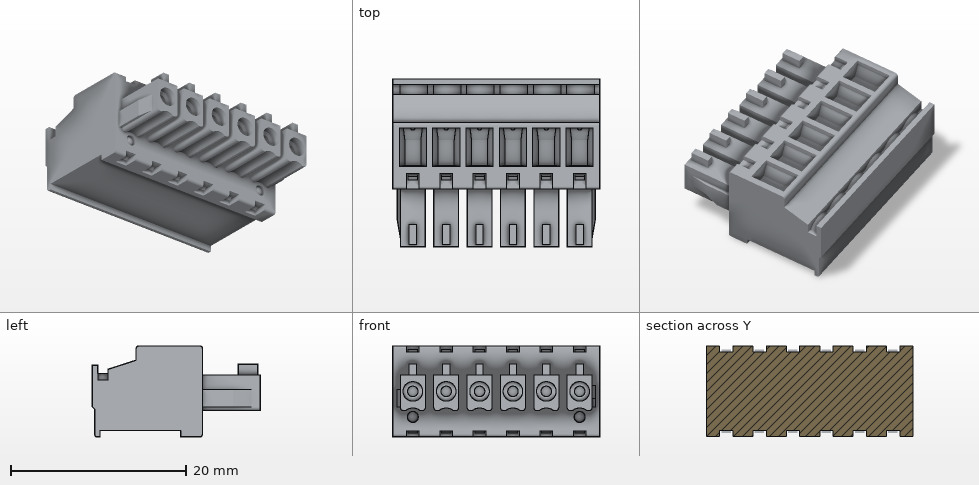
import cadquery as cq


POLES = 6
PITCH = 3.81
WIDTH = 23.65
DEPTH = 12.6
HEIGHT = 10.4
PLUG_LENGTH = 6.6

POLE_X = [(i - (POLES - 1) / 2) * PITCH for i in range(POLES)]

EDGE_RADIUS = 0.3
STEP_RADIUS = 0.35
STEP_Y = 7.6
STEP_Z = 8.77
SLOPE_END_Z = 7.73
GROOVE_FRONT_Y = 10.8
GROOVE_REAR_Y = 11.95
GROOVE_Z = 6.5
REAR_WALL_TOP_Z = 8.2
REAR_LEDGE_Z = 3.45
REAR_STEP = 0.27
FRONT_FOOT_DEPTH = 2.5
REAR_FOOT_FRONT_Y = 11.7
FOOT_HEIGHT = 0.73

BOSS_RADIUS = 2.03
BOSS_TOP_Z = 7.25
BOSS_OFFSET_X = 0.1

POCKET_WIDTH = 3.1
POCKET_FRONT_Y = 2.6
POCKET_REAR_Y = 7.0
POCKET_FRONT_DRAFT = 0.1
POCKET_STRAIGHT_DEPTH = 0.7
FUNNEL_DEPTH = 1.25
FUNNEL_INSET = 0.64
RAMP_FRONT_Y = 5.58
RAMP_HEIGHT = 0.35
SCREW_TIP_RADIUS = 0.25

NOTCH_WIDTH = 1.45
NOTCH_LENGTH = 1.8
NOTCH_DEPTH = 0.7
LATCH_WIDTH = 1.08
LATCH_HEIGHT = 0.26
LATCH_FRONT_Y = 1.07
LATCH_CREST_Y = 1.43
LATCH_REAR_Y = 1.62

PLUG_WIDTH = 2.86
PLUG_BOTTOM_Z = 3.0
PLUG_TOP_Z = 7.1
PLUG_CORNER_RADIUS = 0.38
SCALLOP_WIDTH = 1.65
SCALLOP_RISE = 0.3
SOCKET_Z = 5.2
SOCKET_RADIUS = 1.12
SOCKET_DEPTH = 1.0
CONTACT_RADIUS = 0.6
CONTACT_CONE_DEPTH = 0.06
CONTACT_DEPTH = 1.5
KEY_WIDTH = 0.82
KEY_LENGTH = 2.27
KEY_SETBACK = 0.27
KEY_HEIGHT = 1.2

RIB_THICKNESS = 0.36
RIB_STRAIGHT_LENGTH = 3.5
RIB_LENGTH = 5.55
RIB_BOTTOM_Z = 3.4
LEFT_RIB_TOP_Z = 5.44
RIGHT_RIB_TOP_Z = 5.88
RIGHT_RIB_RAISED_Z = 4.38
RIGHT_RIB_RISE_LENGTH = 1.5

DOME_Z = 2.28
DOME_RADIUS = 0.63
DOME_HOLE_DEPTH = 0.5


def box(x_min, x_max, y_min, y_max, z_min, z_max):
    """Axis-aligned block between the given limits."""
    return cq.Workplane("XY").box(
        x_max - x_min, y_max - y_min, z_max - z_min, centered=False
    ).translate((x_min, y_min, z_min))


def side_prism(points, x_min, x_max):
    """Closed (Y, Z) outline extruded along X."""
    return cq.Workplane("YZ").polyline(points).close().extrude(x_max - x_min).translate((x_min, 0, 0))


def y_cylinder(x, z, radius, y_min, y_max):
    """Cylinder with its axis along Y."""
    return cq.Workplane("XZ", origin=(x, y_min, z)).circle(radius).extrude(y_min - y_max)


def housing():
    lower_rear_y = DEPTH - REAR_STEP
    outline = [
        (0, 0),
        (0, HEIGHT),
        (STEP_Y, HEIGHT),
        (STEP_Y, STEP_Z),
        (GROOVE_FRONT_Y, SLOPE_END_Z),
        (GROOVE_FRONT_Y, GROOVE_Z),
        (GROOVE_REAR_Y, GROOVE_Z),
        (GROOVE_REAR_Y, REAR_WALL_TOP_Z),
        (DEPTH, REAR_WALL_TOP_Z),
        (DEPTH, REAR_LEDGE_Z),
        (lower_rear_y, REAR_LEDGE_Z - REAR_STEP),
        (lower_rear_y, 0),
        (REAR_FOOT_FRONT_Y, 0),
        (REAR_FOOT_FRONT_Y, FOOT_HEIGHT),
        (FRONT_FOOT_DEPTH, FOOT_HEIGHT),
        (FRONT_FOOT_DEPTH, 0),
    ]
    body = side_prism(outline, -WIDTH / 2, WIDTH / 2)

    def edge_at(y, z):
        return cq.selectors.NearestToPointSelector((0, y, z))

    for y, z in [(0, 0), (0, HEIGHT), (lower_rear_y, 0)]:
        body = body.edges(edge_at(y, z)).fillet(EDGE_RADIUS)
    return body.edges(edge_at(STEP_Y, HEIGHT)).fillet(STEP_RADIUS)


def screw_boss(x):
    """Round boss whose crown shows above the groove floor."""
    boss = y_cylinder(x, BOSS_TOP_Z - BOSS_RADIUS, BOSS_RADIUS, GROOVE_FRONT_Y, GROOVE_REAR_Y)
    crown = box(x - BOSS_RADIUS, x + BOSS_RADIUS, GROOVE_FRONT_Y, GROOVE_REAR_Y, GROOVE_Z, BOSS_TOP_Z)
    return boss.intersect(crown)


def wire_pocket(x):
    """Tool for a funnel-shaped wire entry with a ramp at the rear of its floor."""
    half_width = POCKET_WIDTH / 2
    half_floor = half_width - FUNNEL_INSET
    funnel_top_z = HEIGHT - POCKET_STRAIGHT_DEPTH
    floor_z = funnel_top_z - FUNNEL_DEPTH
    cross_section = [
        (x - half_width, HEIGHT),
        (x - half_width, funnel_top_z),
        (x - half_floor, floor_z),
        (x + half_floor, floor_z),
        (x + half_width, funnel_top_z),
        (x + half_width, HEIGHT),
    ]
    lengthwise_section = [
        (POCKET_FRONT_Y, HEIGHT),
        (POCKET_FRONT_Y + POCKET_FRONT_DRAFT, floor_z),
        (RAMP_FRONT_Y, floor_z),
        (POCKET_REAR_Y, floor_z + RAMP_HEIGHT),
        (POCKET_REAR_Y, HEIGHT),
    ]
    funnel = cq.Workplane("XZ").polyline(cross_section).close().extrude(-DEPTH)
    pocket = funnel.intersect(side_prism(lengthwise_section, x - half_width, x + half_width))
    screw_tip = cq.Workplane("XY").sphere(SCREW_TIP_RADIUS)
    screw_tip = screw_tip.translate((x, POCKET_REAR_Y, floor_z + RAMP_HEIGHT))
    return pocket.cut(screw_tip)


def latch_notch(x):
    """Tool for a notch in the upper front edge, leaving a latch wedge on its floor."""
    floor_z = HEIGHT - NOTCH_DEPTH
    crest_z = floor_z + LATCH_HEIGHT
    notch = box(x - NOTCH_WIDTH / 2, x + NOTCH_WIDTH / 2, 0, NOTCH_LENGTH, floor_z, HEIGHT)
    wedge_outline = [
        (LATCH_FRONT_Y, floor_z),
        (LATCH_CREST_Y, crest_z),
        (LATCH_REAR_Y, crest_z),
        (LATCH_REAR_Y, floor_z),
    ]
    return notch.cut(side_prism(wedge_outline, x - LATCH_WIDTH / 2, x + LATCH_WIDTH / 2))


def plug(x):
    """Plug with a scalloped underside and a coding key on top."""
    half_width = PLUG_WIDTH / 2
    half_scallop = SCALLOP_WIDTH / 2
    body = (
        cq.Workplane("XZ")
        .moveTo(x - half_width, PLUG_TOP_Z)
        .lineTo(x + half_width, PLUG_TOP_Z)
        .lineTo(x + half_width, PLUG_BOTTOM_Z + PLUG_CORNER_RADIUS)
        .radiusArc((x + half_width - PLUG_CORNER_RADIUS, PLUG_BOTTOM_Z), PLUG_CORNER_RADIUS)
        .lineTo(x + half_scallop, PLUG_BOTTOM_Z)
        .threePointArc((x, PLUG_BOTTOM_Z + SCALLOP_RISE), (x - half_scallop, PLUG_BOTTOM_Z))
        .lineTo(x - half_width + PLUG_CORNER_RADIUS, PLUG_BOTTOM_Z)
        .radiusArc((x - half_width, PLUG_BOTTOM_Z + PLUG_CORNER_RADIUS), PLUG_CORNER_RADIUS)
        .close()
        .extrude(PLUG_LENGTH)
    )
    key_front_y = KEY_SETBACK - PLUG_LENGTH
    key = box(
        x - KEY_WIDTH / 2, x + KEY_WIDTH / 2,
        key_front_y, key_front_y + KEY_LENGTH,
        PLUG_TOP_Z, PLUG_TOP_Z + KEY_HEIGHT,
    )
    return body.union(key)


def socket(x):
    """Tool for a stepped contact bore that runs along +Y from the tip of the plug."""
    cone_depth = SOCKET_DEPTH + CONTACT_CONE_DEPTH
    bore = (
        cq.Workplane("XY")
        .polyline([
            (0, 0),
            (SOCKET_RADIUS, 0),
            (SOCKET_RADIUS, SOCKET_DEPTH),
            (CONTACT_RADIUS, cone_depth),
            (CONTACT_RADIUS, CONTACT_DEPTH),
            (0, CONTACT_DEPTH),
        ])
        .close()
        .revolve(360, (0, 0, 0), (0, 1, 0))
    )
    return bore.translate((x, -PLUG_LENGTH, SOCKET_Z))


def guide_rib(side, top_z):
    """Rib on the outer face of an end plug (side is -1 or +1), tapered towards its tip."""
    plug_side = POLE_X[-1] + PLUG_WIDTH / 2
    outer = plug_side + RIB_THICKNESS
    outline = [
        (side * plug_side, 0),
        (side * outer, 0),
        (side * outer, -RIB_STRAIGHT_LENGTH),
        (side * plug_side, -RIB_LENGTH),
    ]
    rib = cq.Workplane("XY", origin=(0, 0, RIB_BOTTOM_Z)).polyline(outline).close()
    return rib.extrude(top_z - RIB_BOTTOM_Z)


def right_rib():
    """Right-hand rib; its underside rises towards the tip."""
    relief_outline = [
        (RIGHT_RIB_RISE_LENGTH - RIB_STRAIGHT_LENGTH, RIB_BOTTOM_Z),
        (-RIB_STRAIGHT_LENGTH, RIGHT_RIB_RAISED_Z),
        (-RIB_LENGTH, RIGHT_RIB_RAISED_Z),
        (-RIB_LENGTH, RIB_BOTTOM_Z),
    ]
    return guide_rib(1, RIGHT_RIB_TOP_Z).cut(side_prism(relief_outline, 0, WIDTH / 2))


def dome_recess(x):
    """Tool for a round hole in the front face with a dome left standing inside."""
    hole = y_cylinder(x, DOME_Z, DOME_RADIUS, 0, DOME_HOLE_DEPTH)
    dome = cq.Workplane("XY").sphere(DOME_RADIUS).translate((x, DOME_RADIUS, DOME_Z))
    return hole.cut(dome)


result = housing()
for pole_x in POLE_X:
    upper_notch = latch_notch(pole_x)
    lower_notch = upper_notch.mirror("XY").translate((0, 0, HEIGHT))
    result = result.union(screw_boss(pole_x + BOSS_OFFSET_X)).union(plug(pole_x))
    result = result.cut(wire_pocket(pole_x)).cut(upper_notch).cut(lower_notch).cut(socket(pole_x))
for end_x in (POLE_X[0], POLE_X[-1]):
    result = result.cut(dome_recess(end_x))
result = result.union(guide_rib(-1, LEFT_RIB_TOP_Z)).union(right_rib())